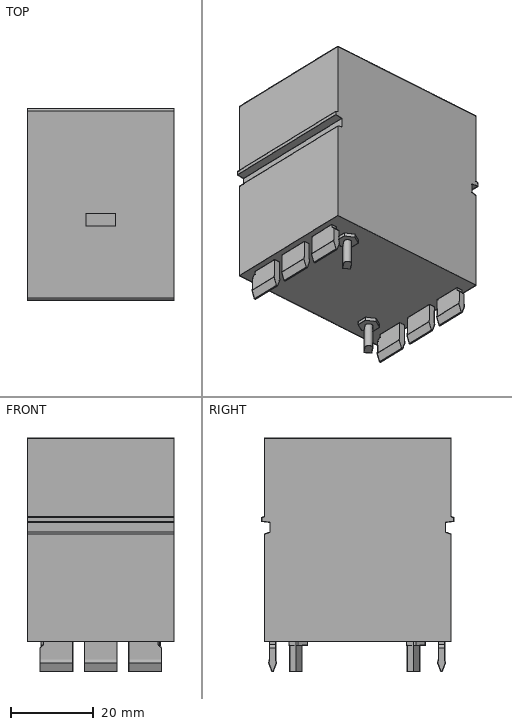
import cadquery as cq
import math

body_width = 35.4
body_depth = 45.2
overall_depth = 46.4
total_height = 56.4
clip_length = 7.2
body_height = total_height - clip_length

rib_reach = overall_depth / 2
rib_root_top = 30.25
rib_edge_top = 30.0
rib_edge_bottom = 29.05
groove_top = 28.8
groove_bottom = 26.45
groove_edge_bottom = 26.0
groove_floor = 21.25

window_length = 7.2
window_width = 3.0
window_depth = 2.15
window_y = -3.7

underside_shift_y = -0.15

clip_width = 7.95
clip_pitch = 10.7
clip_y = 20.4
clip_half_stem = 0.8
clip_half_barb = 0.95
clip_half_tip = 0.15
barb_start = -4.4
barb_edge = -5.15
corner_cut = 0.85
corner_cut_top = -0.7

peg_x = 11.85
peg_y = 14.2
collar_sides = 6
collar_across_flats = 4.55
collar_height = 0.9
peg_radius = 0.95
blade_length = 2.25
blade_turn = -36.0


def make_body():
    """Block with a rib over a groove on the front and back faces."""
    half_depth = body_depth / 2
    side = [
        (half_depth, 0),
        (half_depth, groove_edge_bottom),
        (groove_floor, groove_bottom),
        (groove_floor, groove_top),
        (rib_reach, rib_edge_bottom),
        (rib_reach, rib_edge_top),
        (half_depth, rib_root_top),
        (half_depth, body_height),
    ]
    opposite_side = [(-y, z) for y, z in reversed(side)]
    return (
        cq.Workplane("YZ")
        .polyline(side + opposite_side)
        .close()
        .extrude(body_width / 2, both=True)
    )


def make_window():
    """Blind rectangular pocket cut down from the top face."""
    return (
        cq.Workplane("XY", origin=(0, window_y, body_height))
        .rect(window_length, window_width)
        .extrude(-window_depth)
    )


def make_clip(column, y):
    """Barbed clip; in the outer columns its upper outer corner is cut away."""
    flank = [
        (clip_half_stem, 0),
        (clip_half_stem, barb_start),
        (clip_half_barb, barb_edge),
        (clip_half_tip, -clip_length),
    ]
    opposite_flank = [(-offset, z) for offset, z in reversed(flank)]
    x = column * clip_pitch
    clip = (
        cq.Workplane("YZ", origin=(x, y, 0))
        .polyline(flank + opposite_flank)
        .close()
        .extrude(clip_width / 2, both=True)
    )
    if column == 0:
        return clip
    outer_x = x + column * clip_width / 2
    inner_x = outer_x - column * corner_cut
    corner = (
        cq.Workplane("XZ", origin=(0, y, 0))
        .polyline([
            (inner_x, 0),
            (inner_x, corner_cut_top),
            (outer_x, corner_cut_top - corner_cut),
            (outer_x, 0),
        ])
        .close()
        .extrude(2 * clip_half_barb, both=True)
    )
    return clip.cut(corner)


def make_peg(x, y):
    """Round peg with a square-ended blade flush with its side, under a hexagonal collar."""
    collar = (
        cq.Workplane("XY", origin=(x, y, 0))
        .polygon(collar_sides, collar_across_flats / math.cos(math.pi / collar_sides))
        .extrude(-collar_height)
    )
    peg = (
        cq.Workplane("XY")
        .moveTo(blade_length, -peg_radius)
        .lineTo(blade_length, peg_radius)
        .lineTo(0, peg_radius)
        .threePointArc((-peg_radius, 0), (0, -peg_radius))
        .close()
        .extrude(-clip_length)
        .rotate((0, 0, 0), (0, 0, 1), blade_turn)
        .translate((x, y, 0))
    )
    return collar.union(peg)


result = make_body().cut(make_window())

for row_y in (-clip_y, clip_y):
    for column in (-1, 0, 1):
        result = result.union(make_clip(column, underside_shift_y + row_y))

for side in (-1, 1):
    result = result.union(make_peg(side * peg_x, underside_shift_y - side * peg_y))